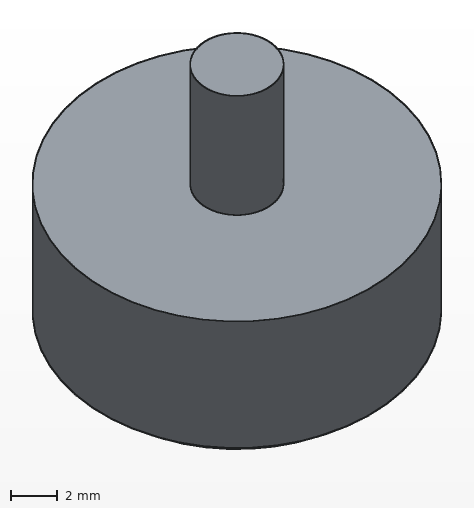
import cadquery as cq

total_height = 17.5
head_diameter = 17.5
pin_diameter = 4.0
pin_length = 6.9
chamfer_size = 0.88
cone_height = 2.4

head_radius = head_diameter / 2
pin_radius = pin_diameter / 2
cone_radius = head_radius - chamfer_size
chamfer_top = cone_height + chamfer_size
shoulder_level = total_height - pin_length


def make_half_profile():
    """Half section in the XZ plane, from the cone tip up to the pin top."""
    return (
        cq.Workplane("XZ")
        .moveTo(0, 0)
        .lineTo(cone_radius, cone_height)
        .lineTo(head_radius, chamfer_top)
        .lineTo(head_radius, shoulder_level)
        .lineTo(pin_radius, shoulder_level)
        .lineTo(pin_radius, total_height)
        .lineTo(0, total_height)
        .close()
    )


result = make_half_profile().revolve(360, (0, 0, 0), (0, 1, 0))